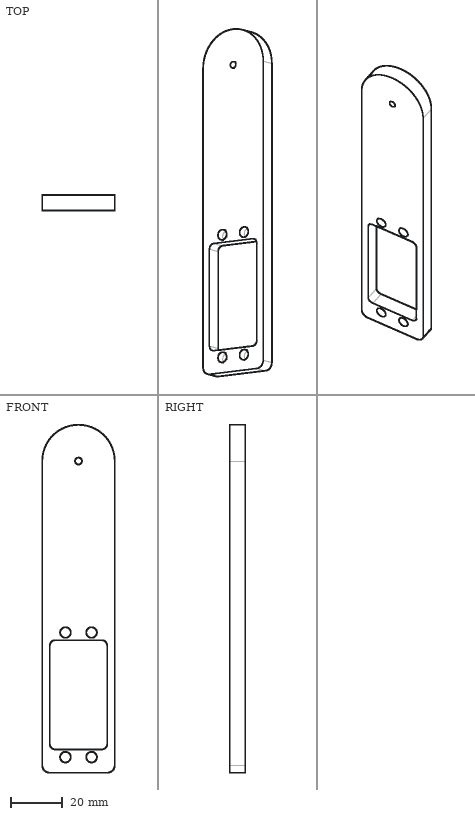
import cadquery as cq

length = 134.0
width = 28.0
thickness = 6.0
end_radius = width / 2
bottom_corner_radius = 3.0

window_width = 22.0
window_height = 42.0
window_corner_radius = 2.0
window_center_z = 30.0

pivot_diameter = 2.5
pivot_z = length - end_radius
screw_diameter = 4.0
screw_spacing_x = 10.0
screw_spacing_z = 48.0


def make_plate():
    """Flat bar with a semicircular top end and rounded bottom corners."""
    plate = (
        cq.Workplane("XZ")
        .moveTo(-width / 2, 0)
        .lineTo(width / 2, 0)
        .lineTo(width / 2, pivot_z)
        .threePointArc((0, length), (-width / 2, pivot_z))
        .close()
        .extrude(thickness / 2, both=True)
    )
    return plate.edges("|Y and <Z").fillet(bottom_corner_radius)


def make_window():
    """Cutter for the rounded rectangular opening."""
    return (
        cq.Workplane("XZ")
        .center(0, window_center_z)
        .rect(window_width, window_height)
        .extrude(thickness, both=True)
        .edges("|Y")
        .fillet(window_corner_radius)
    )


def make_screw_holes():
    """Cutter for one pair of holes above the window and one pair below it."""
    return (
        cq.Workplane("XZ")
        .center(0, window_center_z)
        .rect(screw_spacing_x, screw_spacing_z, forConstruction=True)
        .vertices()
        .circle(screw_diameter / 2)
        .extrude(thickness, both=True)
    )


def make_pivot_hole():
    """Cutter for the small hole concentric with the rounded end."""
    return (
        cq.Workplane("XZ")
        .center(0, pivot_z)
        .circle(pivot_diameter / 2)
        .extrude(thickness, both=True)
    )


result = make_plate().cut(make_window()).cut(make_screw_holes()).cut(make_pivot_hole())